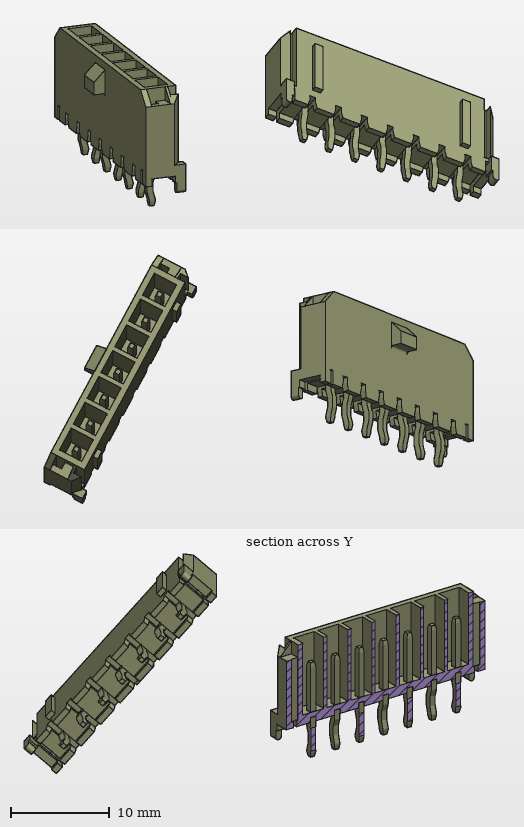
import cadquery as cq


length = 24.65
depth = 3.85
height = 9.9
end_chamfer = 1.43
half_length = length / 2
core_half = half_length - end_chamfer
chamfer_base = height - end_chamfer

pin_count = 7
row_span = 18.0
pitch = row_span / (pin_count - 1)
cavity_side = 2.55
cavity_floor = 1.92
row_y = depth / 2
wall = row_y - cavity_side / 2
pin_width = 0.67
pin_tip_width = 0.47
pin_top = 7.4
pin_bottom = -3.18
tip_length = 0.52
kink = 0.25
kink_start = 0.2
kink_full = -0.6
kink_release = -1.63
kink_end = -2.51

recess_height = 0.76
recess_back = 3.25
notch_height = 1.33
notch_flare_height = 0.75
notch_mouth = 1.04
split_height = 1.48
split_width = 0.37
split_from_end = 0.9

pocket_back = 2.69
shaft_width = 0.76
shaft_depth = 0.99
rear_slot_depth = 0.89
corner_chamfer = 0.75

rear_reach = 4.36
lug_top = 1.92
lug_bottom = -1.1
lug_front = 3.4
peg_width = 0.7
rib_width = 0.9
rib_center = 8.55
rib_bottom = 2.25
rib_top = 8.2

latch_width = 2.61
latch_reach = 1.2
latch_top = 9.12
latch_slope_end = 7.94
latch_bottom = 6.6
latch_root_radius = 0.25

pin_xs = [i * pitch - row_span / 2 for i in range(pin_count)]


def box(x0, x1, y0, y1, z0, z1):
    """Box between two opposite corners."""
    return cq.Workplane("XY").box(x1 - x0, y1 - y0, z1 - z0, centered=False).translate((x0, y0, z0))


def both_ends(shape):
    """A shape at the -X end together with its mirror image at the +X end."""
    return shape.union(shape.mirror("YZ"))


def through_y(outline, y0, y1):
    """Extrude a closed XZ outline from y0 to y1."""
    return outline.extrude(y0 - y1).translate((0, y0, 0))


def housing_block():
    outline = (
        cq.Workplane("XZ")
        .moveTo(-half_length, 0)
        .lineTo(half_length, 0)
        .lineTo(half_length, chamfer_base)
        .lineTo(core_half, height)
        .lineTo(-core_half, height)
        .lineTo(-half_length, chamfer_base)
        .close()
    )
    block = through_y(outline, 0, depth)
    corner = (
        cq.Workplane("XY")
        .moveTo(-half_length, depth)
        .lineTo(-half_length + corner_chamfer, depth)
        .lineTo(-half_length, depth - corner_chamfer)
        .close()
        .extrude(height - lug_top)
        .translate((0, 0, lug_top))
    )
    return block.cut(both_ends(corner))


def end_cuts():
    """Open pocket, shaft and tall rear slot at each end."""
    pocket = box(-half_length, -core_half, wall, pocket_back, chamfer_base, height)
    shaft = box(-core_half - shaft_width, -core_half, wall, wall + shaft_depth, split_height, chamfer_base)
    rear_slot = box(
        -half_length + corner_chamfer, -core_half, depth - rear_slot_depth, depth, lug_top, height
    )
    return both_ends(pocket.union(shaft).union(rear_slot))


def underside_cuts():
    """Lengthwise recess plus the split slots near the ends."""
    recess = box(-half_length, half_length, wall, recess_back, 0, recess_height)
    split_x = -half_length + split_from_end
    split = box(split_x, split_x + split_width, 0, depth, 0, split_height)
    return recess.union(both_ends(split))


def pin_notch(x):
    """Flared notch running front to back over one pin."""
    outline = (
        cq.Workplane("XZ")
        .moveTo(x - notch_mouth / 2, 0)
        .lineTo(x - pin_width / 2, notch_flare_height)
        .lineTo(x - pin_width / 2, notch_height)
        .lineTo(x + pin_width / 2, notch_height)
        .lineTo(x + pin_width / 2, notch_flare_height)
        .lineTo(x + notch_mouth / 2, 0)
        .close()
    )
    return through_y(outline, 0, depth)


def pin_tip(x, z, direction):
    """Tapered pin end starting at height z and pointing up (1) or down (-1)."""
    return (
        cq.Workplane("XY", origin=(x, row_y, z))
        .rect(pin_width, pin_width)
        .workplane(offset=direction * tip_length)
        .rect(pin_tip_width, pin_tip_width)
        .loft()
    )


def pin(x, side):
    """Square pin whose press-fit bend leans toward +Y (side 1) or -Y (side -1)."""
    upper = pin_top - tip_length
    lower = pin_bottom + tip_length
    centerline = [
        (0, upper),
        (0, kink_start),
        (side * kink, kink_full),
        (side * kink, kink_release),
        (0, kink_end),
        (0, lower),
    ]
    right_edge = [(row_y + offset + pin_width / 2, z) for offset, z in centerline]
    left_edge = [(row_y + offset - pin_width / 2, z) for offset, z in reversed(centerline)]
    shank = (
        cq.Workplane("YZ", origin=(x - pin_width / 2, 0, 0))
        .polyline(right_edge + left_edge)
        .close()
        .extrude(pin_width)
    )
    return shank.union(pin_tip(x, upper, 1)).union(pin_tip(x, lower, -1))


def rear_lug():
    """Lug behind the -X end, ending below in a round-tipped peg."""
    radius = peg_width / 2
    base = box(-half_length, -half_length + split_from_end, lug_front, rear_reach, 0, lug_top)
    outline = (
        cq.Workplane("XZ")
        .moveTo(-half_length, 0)
        .lineTo(-half_length, lug_bottom + radius)
        .threePointArc(
            (-half_length + radius, lug_bottom),
            (-half_length + peg_width, lug_bottom + radius),
        )
        .lineTo(-half_length + peg_width, 0)
        .close()
    )
    return base.union(through_y(outline, lug_front, rear_reach))


def rear_rib():
    return box(
        -rib_center - rib_width / 2, -rib_center + rib_width / 2, depth, rear_reach, rib_bottom, rib_top
    )


def latch():
    """Ramped catch on the front face, with a concave fillet under its root."""
    return (
        cq.Workplane("YZ", origin=(-latch_width / 2, 0, 0))
        .moveTo(0, latch_top)
        .lineTo(-latch_reach, latch_slope_end)
        .lineTo(-latch_reach, latch_bottom)
        .lineTo(-latch_root_radius, latch_bottom)
        .radiusArc((0, latch_bottom - latch_root_radius), latch_root_radius)
        .close()
        .extrude(latch_width)
    )


result = housing_block().cut(end_cuts()).cut(underside_cuts())
for x in pin_xs:
    cavity = box(
        x - cavity_side / 2, x + cavity_side / 2, wall, wall + cavity_side, cavity_floor, height
    )
    result = result.cut(cavity).cut(pin_notch(x))

result = result.union(both_ends(rear_lug())).union(both_ends(rear_rib())).union(latch())
for i, x in enumerate(pin_xs):
    result = result.union(pin(x, -1 if i % 2 == 0 else 1))